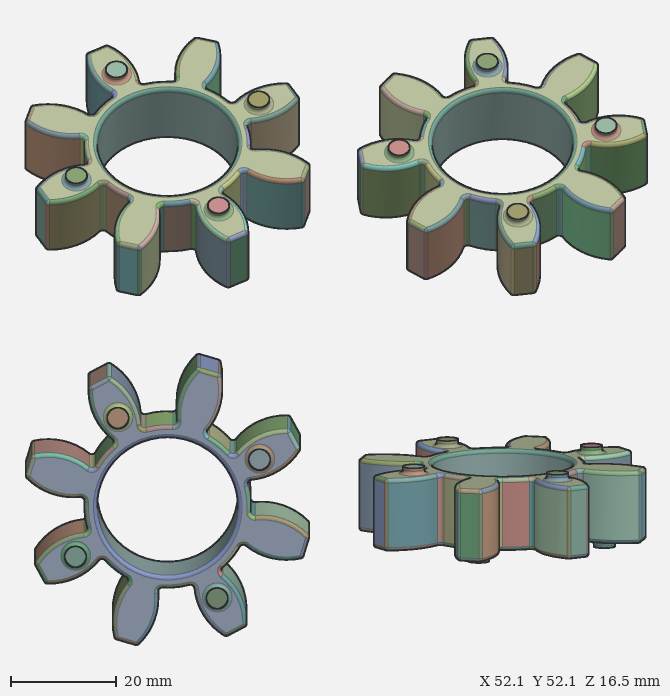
import cadquery as cq
import math


body_height = 13.97
bore_radius = 13.28
ring_radius = 15.75
edge_fillet = 0.762

tooth_count = 8
tooth_pitch = 360.0 / tooth_count
first_tooth_angle = tooth_pitch / 2
tip_distance = 27.4
flank_radius = 12.2
belly_distance = 21.05
belly_half_width = 4.0
root_fillet = edge_fillet
tip_corner_fillet = edge_fillet

pip_radius = 2.032
pip_height = 1.27
pip_base_fillet = edge_fillet
pip_distance = 19.75

tooth_start = (bore_radius + ring_radius) / 2


def flank_half_width(distance):
    """Half width of a tooth at a distance from the bore axis along its centreline."""
    arc_height = math.sqrt(flank_radius**2 - (distance - belly_distance) ** 2)
    return belly_half_width - flank_radius + arc_height


def tooth_angle(index):
    """Direction of a tooth centreline about Z, in degrees from the X axis."""
    return first_tooth_angle + index * tooth_pitch


def make_tooth():
    """One tooth on the X axis, with a flat tip, convex flanks and rounded tip corners."""
    start_half_width = flank_half_width(tooth_start)
    tip_half_width = flank_half_width(tip_distance)
    return (
        cq.Workplane("XY")
        .workplane(offset=-body_height / 2)
        .moveTo(tooth_start, -start_half_width)
        .threePointArc((belly_distance, -belly_half_width), (tip_distance, -tip_half_width))
        .lineTo(tip_distance, tip_half_width)
        .threePointArc((belly_distance, belly_half_width), (tooth_start, start_half_width))
        .close()
        .extrude(body_height)
        .edges("|Z and >X")
        .fillet(tip_corner_fillet)
    )


def make_body():
    """Ring and teeth with filleted tooth roots and rounded face edges."""
    body = cq.Workplane("XY").workplane(offset=-body_height / 2).circle(ring_radius).extrude(body_height)
    tooth = make_tooth()
    for index in range(tooth_count):
        body = body.union(tooth.rotate((0, 0, 0), (0, 0, 1), tooth_angle(index)))

    root_box = cq.selectors.BoxSelector(
        (-ring_radius, -ring_radius, -body_height),
        (ring_radius, ring_radius, body_height),
    )
    body = body.edges("|Z").edges(root_box).fillet(root_fillet)
    body = body.cut(cq.Workplane("XY").circle(bore_radius).extrude(body_height, both=True))
    return body.faces("|Z").edges().fillet(edge_fillet)


def make_pip():
    """Round pip on the Z axis standing on the upper face, flaring into it at its base."""
    flare_radius = pip_radius + pip_base_fillet
    flare_middle = pip_base_fillet * (1 - math.sqrt(0.5))
    face_height = body_height / 2
    embedded_height = face_height - pip_base_fillet
    return (
        cq.Workplane("XZ")
        .moveTo(0, embedded_height)
        .lineTo(flare_radius, embedded_height)
        .lineTo(flare_radius, face_height)
        .threePointArc(
            (pip_radius + flare_middle, face_height + flare_middle),
            (pip_radius, face_height + pip_base_fillet),
        )
        .lineTo(pip_radius, face_height + pip_height)
        .lineTo(0, face_height + pip_height)
        .close()
        .revolve(360, (0, 0, 0), (0, 1, 0))
    )


def add_pips(body):
    """One pip per tooth: lower face on even teeth, upper face on odd teeth."""
    upper_pip = make_pip()
    lower_pip = upper_pip.mirror("XY")
    for index in range(tooth_count):
        angle = math.radians(tooth_angle(index))
        pip = upper_pip if index % 2 else lower_pip
        position = (pip_distance * math.cos(angle), pip_distance * math.sin(angle), 0)
        body = body.union(pip.translate(position))
    return body


result = add_pips(make_body())